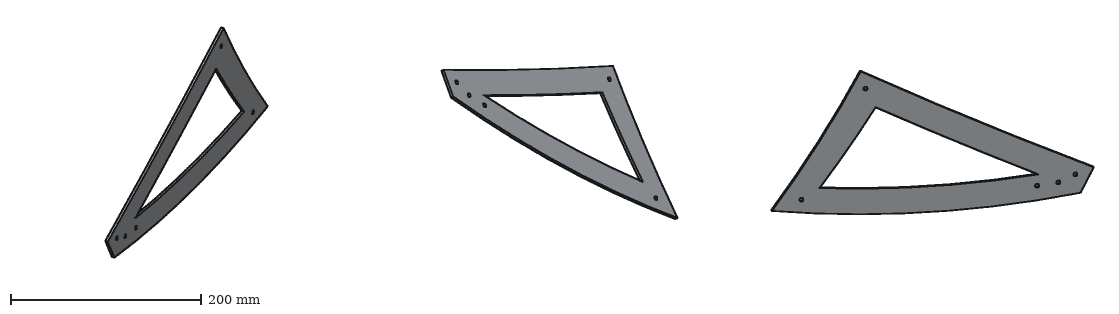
import cadquery as cq
import math

thickness = 3.18
hole_diameter = 4.2

tail = (0, 16.5)
peak = (96.3, 163.5)
nose_top = (349, 35)
nose_bottom = (334.5, 7.7)

window_tail = (51.5, 37.5)
window_peak = (112.5, 122)
window_nose = (288.5, 32.0)

rear_radius = 1221.5
upper_radius = 5234.7
lower_radius = 1204

hole_centers = [(101.5, 144.0), (32.0, 26.0), (287.5, 19.5), (310.5, 21.3), (329.0, 28.5)]

plate_plane = cq.Plane(origin=(thickness, 0, 0), xDir=(0, -1, 0), normal=(-1, 0, 0))


def arc_middle(start, end, radius):
    """Middle of an arc that bows to the right of the direction start -> end."""
    run = end[0] - start[0]
    rise = end[1] - start[1]
    chord = math.hypot(run, rise)
    bow = radius - math.sqrt(radius**2 - (chord / 2) ** 2)
    middle_across = (start[0] + end[0]) / 2 + bow * rise / chord
    middle_up = (start[1] + end[1]) / 2 - bow * run / chord
    return (middle_across, middle_up)


def curved_plate(tail_corner, peak_corner, nose_corner, lower_nose_corner):
    """Plate with concave rear and upper edges and a convex lower edge."""
    outline = (
        cq.Workplane(plate_plane)
        .moveTo(*tail_corner)
        .threePointArc(arc_middle(tail_corner, peak_corner, rear_radius), peak_corner)
        .threePointArc(arc_middle(peak_corner, nose_corner, upper_radius), nose_corner)
    )
    if lower_nose_corner != nose_corner:
        outline = outline.lineTo(*lower_nose_corner)
    lower_middle = arc_middle(tail_corner, lower_nose_corner, lower_radius)
    return outline.threePointArc(lower_middle, tail_corner).close().extrude(thickness)


frame = curved_plate(tail, peak, nose_top, nose_bottom)
window = curved_plate(window_tail, window_peak, window_nose, window_nose)

holes = cq.Workplane(plate_plane).pushPoints(hole_centers).circle(hole_diameter / 2).extrude(thickness)

result = frame.cut(window).cut(holes)